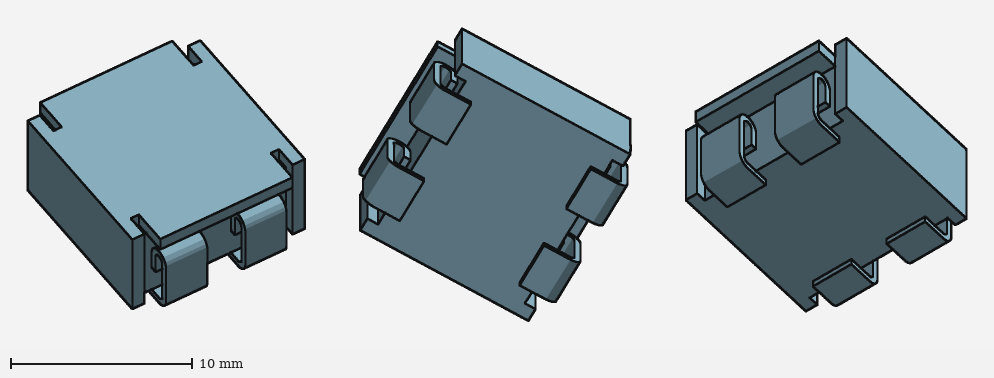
import cadquery as cq

overall_length = 12.3
overall_width = 11.3
overall_height = 6.0
strip_thickness = 0.4
housing_height = overall_height - strip_thickness

core_length = 9.35
plate_length = 10.7
plate_thickness = 0.8
core_width = overall_width - 2 * plate_thickness
flange_thickness = 0.84
flange_width = 8.66

slot_width = (core_width - flange_width) / 2
slot_inner_end = 3.95

terminal_width = 2.7
terminal_spacing = 5.19
terminal_top = 3.74
foot_inner_end = 3.81
leg_end_height = 1.77
outer_face = overall_length / 2
core_face = core_length / 2
hook_outer_radius = (outer_face - core_face) / 2
hook_inner_radius = hook_outer_radius - strip_thickness
hook_center_x = core_face + hook_outer_radius
hook_center_z = terminal_top - hook_outer_radius
foot_bend_center_z = hook_outer_radius - strip_thickness


def box_on_z(length, width, height, bottom):
    """Box centred in X and Y, standing on the given Z level."""
    return (
        cq.Workplane("XY")
        .workplane(offset=bottom)
        .box(length, width, height, centered=(True, True, False))
    )


def make_housing():
    core = box_on_z(core_length, core_width, housing_height, 0)
    plate_offset = (overall_width - plate_thickness) / 2
    plate = box_on_z(plate_length, plate_thickness, housing_height, 0)
    flange_bottom = housing_height - flange_thickness
    flange = box_on_z(overall_length, flange_width, flange_thickness, flange_bottom)

    body = core.union(flange)
    for side in (-1, 1):
        body = body.union(plate.translate((0, side * plate_offset, 0)))

    slot_length = outer_face - slot_inner_end
    slot = box_on_z(slot_length, slot_width, flange_thickness, flange_bottom)
    slot_x = (outer_face + slot_inner_end) / 2
    slot_y = (core_width - slot_width) / 2
    for x_side in (-1, 1):
        for y_side in (-1, 1):
            body = body.cut(slot.translate((x_side * slot_x, y_side * slot_y, 0)))
    return body


def make_terminal(x_side, y_center):
    """Strip bent in the XZ plane, on the +X (1) or -X (-1) end of the housing."""

    def at(x, z):
        return (x_side * x, z)

    inner_face = outer_face - strip_thickness
    leg_outer_face = core_face + strip_thickness
    bend_diagonal = 0.5 ** 0.5
    outer_bend_reach = hook_outer_radius * bend_diagonal
    inner_bend_reach = hook_inner_radius * bend_diagonal

    profile = (
        cq.Workplane("XZ")
        .moveTo(*at(foot_inner_end, -strip_thickness))
        .lineTo(*at(hook_center_x, -strip_thickness))
        .threePointArc(
            at(hook_center_x + outer_bend_reach, foot_bend_center_z - outer_bend_reach),
            at(outer_face, foot_bend_center_z),
        )
        .lineTo(*at(outer_face, hook_center_z))
        .threePointArc(at(hook_center_x, terminal_top), at(core_face, hook_center_z))
        .lineTo(*at(core_face, leg_end_height))
        .lineTo(*at(leg_outer_face, leg_end_height))
        .lineTo(*at(leg_outer_face, hook_center_z))
        .threePointArc(
            at(hook_center_x, terminal_top - strip_thickness),
            at(inner_face, hook_center_z),
        )
        .lineTo(*at(inner_face, foot_bend_center_z))
        .threePointArc(
            at(hook_center_x + inner_bend_reach, foot_bend_center_z - inner_bend_reach),
            at(hook_center_x, 0),
        )
        .lineTo(*at(foot_inner_end, 0))
        .close()
    )
    return profile.extrude(terminal_width / 2, both=True).translate((0, y_center, 0))


housing = make_housing()

terminals = []
for x_side in (-1, 1):
    for y_side in (-1, 1):
        terminals.append(make_terminal(x_side, y_side * terminal_spacing / 2))

result = cq.Compound.makeCompound([housing.val(), *[terminal.val() for terminal in terminals]])